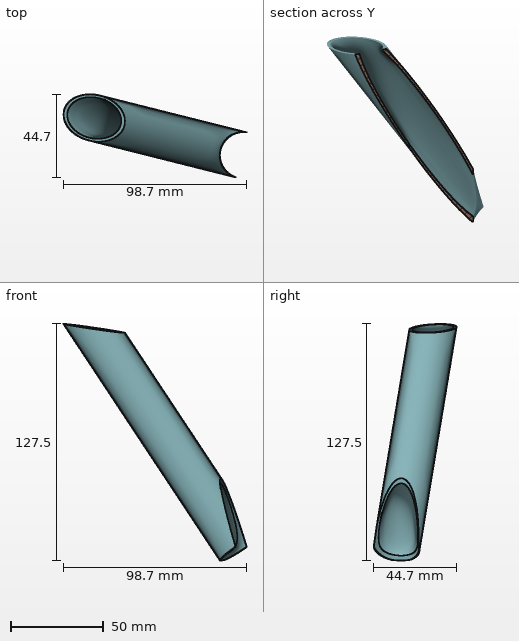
import cadquery as cq
import math

tube_diameter = 25.0
wall = 1.5
heading = 165.9
elevation = 55.7
top_tilt = 8.3
axis_reach = 80.2
post_diameter = tube_diameter
end_offset = 3.6

tube_radius = tube_diameter / 2
run = axis_reach / abs(math.cos(math.radians(heading)))
rise = run * math.tan(math.radians(elevation))
spare = 3 * tube_diameter
axis_x = math.cos(math.radians(elevation))
axis_z = math.sin(math.radians(elevation))


def leaning_cylinder(radius):
    """Cylinder along the tube axis, from the square lower end to beyond the top face."""
    length = math.hypot(run, rise) + spare
    direction = cq.Vector(axis_x, 0, axis_z)
    return cq.Workplane(cq.Solid.makeCylinder(radius, length, direction * end_offset, direction))


def keep_below_top_face():
    """Large block whose upper side is the tilted top face."""
    size = 2 * (run + rise)
    return (
        cq.Workplane("XY")
        .box(size, size, size, centered=(True, True, False))
        .translate((0, 0, -size))
        .rotate((0, 0, 0), (0, 1, 0), -top_tilt)
        .translate((run, 0, rise))
    )


def outside_post():
    """Block on the tube side of the post axis, with the post removed."""
    half = cq.Workplane("XY").box(run + spare, spare, 2 * (rise + spare), centered=(False, True, True))
    post = cq.Workplane("XY").circle(post_diameter / 2).extrude(rise + spare, both=True)
    return half.cut(post)


tube = leaning_cylinder(tube_radius).cut(leaning_cylinder(tube_radius - wall))
tube = tube.intersect(keep_below_top_face()).intersect(outside_post())
result = tube.rotate((0, 0, 0), (0, 0, 1), heading)